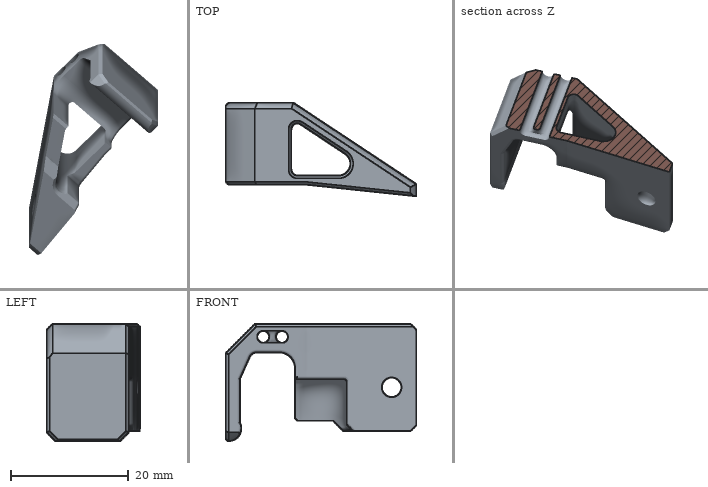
import cadquery as cq
import math

length = 32.5
body_depth = 14.0
height = 20.0
tilt_start_x = 13.75
tilt_drop = 1.97
slope_start_x = 11.53
slope_end_y = 0.12
nose_bevel = 5.0
end_chamfer = 1.0

leg_thickness = 2.46
arch_right_x = 11.8
arch_top_z = 15.1
arch_right_radius = 2.65
arch_left_radius = 1.3
leg_bend_z = 10.65
arch_corner_x = 4.45

hook_radius = 2.18
hook_center_x = 0.5
hook_corner = 1.5

plate_bottom_z = 1.7
wall_bottom_z = 3.44
wall_bottom_chamfer = 0.5
step_end_x = 20.07

window_left_x = 11.22
window_front_y = 1.6
slope_wall = 2.42
window_small_radius = 1.0
window_large_radius = 2.0
window_chamfer = 0.5
window_rim_fillet = 0.5

notch_right_x = 20.65
notch_top_z = 10.56
notch_radius = 0.5
notch_flare_radius = 0.5
notch_flare_z = 2.8
notch_depth_y = 3.6

edge_chamfer = 0.5
back_chamfer = 1.0
foot_chamfer = 0.35
front_fillet = 0.5

screw_diameter = 3.3
screw_x = 28.29
screw_z = 9.18
cord_diameter = 2.0
cord_left_x = 6.4
cord_spacing = 3.2
cord_z = 17.78
cord_slot_depth = 1.0
cord_fillet = 0.5

overshoot = 5.0


def extrude_along_y(profile, y_start, y_end):
    """Extrude a closed XZ workplane profile from y_start to y_end."""
    return profile.extrude(y_start - y_end).translate((0, y_start, 0))


def edges_near(part, points):
    """Select the edge closest to each given point."""
    picked = cq.Workplane(part.val())
    return picked.newObject([part.edges(cq.NearestToPointSelector(p)).val() for p in points])


def on_front(x):
    """Y of the front face at a given x."""
    return -tilt_drop * max(0, x - tilt_start_x) / (length - tilt_start_x)


def make_body():
    """Plan outline cut to the side profile, with the arch corners rounded."""
    plan = (
        cq.Workplane("XY")
        .moveTo(0, 0)
        .lineTo(tilt_start_x, 0)
        .lineTo(length, -tilt_drop)
        .lineTo(length, slope_end_y)
        .lineTo(slope_start_x, body_depth)
        .lineTo(0, body_depth)
        .close()
        .extrude(height)
    )
    hook_top_z = hook_radius + math.sqrt(hook_radius**2 - (leg_thickness - hook_center_x) ** 2)
    step_rise = wall_bottom_z - plate_bottom_z
    profile = (
        cq.Workplane("XZ")
        .moveTo(0, 0)
        .lineTo(hook_center_x, 0)
        .threePointArc((hook_center_x + hook_radius, hook_radius), (leg_thickness, hook_top_z))
        .lineTo(leg_thickness, leg_bend_z)
        .lineTo(arch_corner_x, arch_top_z)
        .lineTo(arch_right_x, arch_top_z)
        .lineTo(arch_right_x, wall_bottom_z + wall_bottom_chamfer)
        .lineTo(arch_right_x + wall_bottom_chamfer, wall_bottom_z)
        .lineTo(step_end_x - step_rise, wall_bottom_z)
        .lineTo(step_end_x, plate_bottom_z)
        .lineTo(length - end_chamfer, plate_bottom_z)
        .lineTo(length, plate_bottom_z + end_chamfer)
        .lineTo(length, height - end_chamfer)
        .lineTo(length - end_chamfer, height)
        .lineTo(nose_bevel, height)
        .lineTo(0, height - nose_bevel)
        .close()
    )
    body = plan.intersect(extrude_along_y(profile, -overshoot, body_depth + overshoot))
    mid_y = body_depth / 2
    body = edges_near(body, [(arch_corner_x, mid_y, arch_top_z)]).fillet(arch_left_radius)
    return edges_near(body, [(arch_right_x, mid_y, arch_top_z)]).fillet(arch_right_radius)


def cut_notch(body):
    """Open the front wall below the arch, flaring outward at the bottom."""
    flare = notch_flare_z - plate_bottom_z
    left_x = (leg_thickness + arch_right_x) / 2
    profile = (
        cq.Workplane("XZ")
        .moveTo(left_x, notch_top_z)
        .lineTo(notch_right_x - notch_radius, notch_top_z)
        .radiusArc((notch_right_x, notch_top_z - notch_radius), notch_radius)
        .lineTo(notch_right_x, notch_flare_z)
        .lineTo(notch_right_x + flare, plate_bottom_z)
        .lineTo(notch_right_x + flare, 0)
        .lineTo(left_x, 0)
        .close()
    )
    notch = extrude_along_y(profile, -overshoot, notch_depth_y)
    return body.cut(edges_near(notch, [(notch_right_x, 0, notch_flare_z)]).fillet(notch_flare_radius))


def round_front_opening(body):
    """Round the front edge of the arch, the leg's inner side and the notch."""
    flare_half = (notch_flare_z - plate_bottom_z) / 2
    spots = [
        (hook_center_x + hook_radius, hook_radius),
        (leg_thickness, (hook_radius + leg_bend_z) / 2),
        ((leg_thickness + arch_corner_x) / 2, (leg_bend_z + arch_top_z) / 2),
        ((arch_corner_x + arch_right_x) / 2, arch_top_z),
        (arch_right_x, (arch_top_z - arch_right_radius + notch_top_z) / 2),
        ((arch_right_x + tilt_start_x) / 2, notch_top_z),
        ((tilt_start_x + notch_right_x) / 2, notch_top_z),
        (notch_right_x, (notch_top_z + notch_flare_z) / 2),
        (notch_right_x + flare_half, plate_bottom_z + flare_half),
    ]
    return edges_near(body, [(x, on_front(x), z) for x, z in spots]).fillet(front_fillet)


def cut_foot_corners(body):
    """Cut both lower corners of the leg at 45 degrees."""
    for y, inward in ((0, 1), (body_depth, -1)):
        corner = (
            cq.Workplane("YZ")
            .moveTo(y, 0)
            .lineTo(y + inward * hook_corner, 0)
            .lineTo(y, hook_corner)
            .close()
            .extrude(arch_right_x)
        )
        body = body.cut(corner)
    return body


def chamfer_outer_edges(body):
    """Break the top and bevel edges, then the outline of the leg's outer face."""
    bevel_x = nose_bevel / 2
    bevel_z = height - nose_bevel / 2
    leg_mid_z = (height - nose_bevel) / 2
    slope_mid_x = (slope_start_x + length) / 2
    tilt_mid_x = (tilt_start_x + length) / 2
    slope_mid_y = (body_depth + slope_end_y) / 2
    front_spots = [
        (bevel_x, 0, bevel_z),
        (tilt_start_x / 2, 0, height),
        (tilt_mid_x, on_front(tilt_mid_x), height),
    ]
    back_spots = [
        (bevel_x, body_depth, bevel_z),
        (slope_start_x / 2, body_depth, height),
        (slope_mid_x, slope_mid_y, height),
    ]
    side_spots = [
        (0, 0, leg_mid_z),
        (0, body_depth, leg_mid_z),
        (0, hook_corner / 2, hook_corner / 2),
        (0, body_depth - hook_corner / 2, hook_corner / 2),
    ]
    body = edges_near(body, back_spots).chamfer(back_chamfer)
    body = edges_near(body, front_spots + side_spots).chamfer(edge_chamfer)
    return edges_near(body, [(0, body_depth / 2, 0)]).chamfer(foot_chamfer)


def window_prism():
    """Triangular prism with rounded corners, its long side parallel to the sloped wall."""
    run = length - slope_start_x
    drop = body_depth - slope_end_y
    slope = drop / run
    line_start = body_depth + slope * slope_start_x - slope_wall * math.hypot(run, drop) / run
    corner_y = line_start - slope * window_left_x
    corner_x = (line_start - window_front_y) / slope
    prism = (
        cq.Workplane("XY")
        .workplane(offset=plate_bottom_z)
        .moveTo(window_left_x, window_front_y)
        .lineTo(corner_x, window_front_y)
        .lineTo(window_left_x, corner_y)
        .close()
        .extrude(height - plate_bottom_z)
    )
    mid_z = (height + plate_bottom_z) / 2
    small = [(window_left_x, window_front_y, mid_z), (window_left_x, corner_y, mid_z)]
    prism = edges_near(prism, small).fillet(window_small_radius)
    return edges_near(prism, [(corner_x, window_front_y, mid_z)]).fillet(window_large_radius)


def cut_window(body):
    """Cut the window, leaving a chamfer around its top and bottom rims."""
    prism = window_prism()
    cutter = prism
    for end, inward in ((">Z", -1), ("<Z", 1)):
        rim = prism.faces(end).wires().toPending().offset2D(window_chamfer)
        cutter = cutter.union(rim.extrude(inward * window_chamfer, taper=45))
    chamfer_top = plate_bottom_z + window_chamfer
    rim_band = cq.selectors.BoxSelector(
        (0, 0, chamfer_top - window_chamfer / 2), (length, body_depth, chamfer_top + window_chamfer / 2)
    )
    return body.cut(cutter.edges(rim_band).edges("#Z").fillet(window_rim_fillet))


def cord_funnel(x):
    """Round-lipped mouth of a cord hole, sunk into the floor of the cord slot."""
    hole_radius = cord_diameter / 2
    funnel = (
        cq.Workplane("XY")
        .moveTo(0, cord_slot_depth)
        .lineTo(hole_radius + cord_fillet, cord_slot_depth)
        .radiusArc((hole_radius, cord_slot_depth + cord_fillet), cord_fillet)
        .lineTo(0, cord_slot_depth + cord_fillet)
        .close()
        .revolve(360, (0, 0, 0), (0, 1, 0))
    )
    return funnel.translate((x, 0, cord_z))


def slot_outline():
    """Outline of the slot that joins the two cord holes at the front."""
    center = cq.Workplane("XZ").center(cord_left_x + cord_spacing / 2, cord_z)
    return center.slot2D(cord_spacing + cord_diameter, cord_diameter)


def rod(x, z, diameter):
    """Cylinder along Y that passes through the whole part."""
    circle = cq.Workplane("XZ").center(x, z).circle(diameter / 2)
    return extrude_along_y(circle, -overshoot, body_depth + overshoot)


def cut_holes(body):
    """Cut the screw hole and the two cord holes with their shared slot."""
    body = body.cut(rod(screw_x, screw_z, screw_diameter))
    deep_slot = extrude_along_y(slot_outline(), 0, cord_slot_depth + cord_fillet)
    slot = extrude_along_y(slot_outline(), 0, cord_slot_depth)
    for x in (cord_left_x, cord_left_x + cord_spacing):
        body = body.cut(rod(x, cord_z, cord_diameter))
        slot = slot.union(cord_funnel(x).intersect(deep_slot))
    return body.cut(slot)


result = make_body()
result = cut_notch(result)
result = round_front_opening(result)
result = cut_foot_corners(result)
result = chamfer_outer_edges(result)
result = cut_window(result)
result = cut_holes(result)